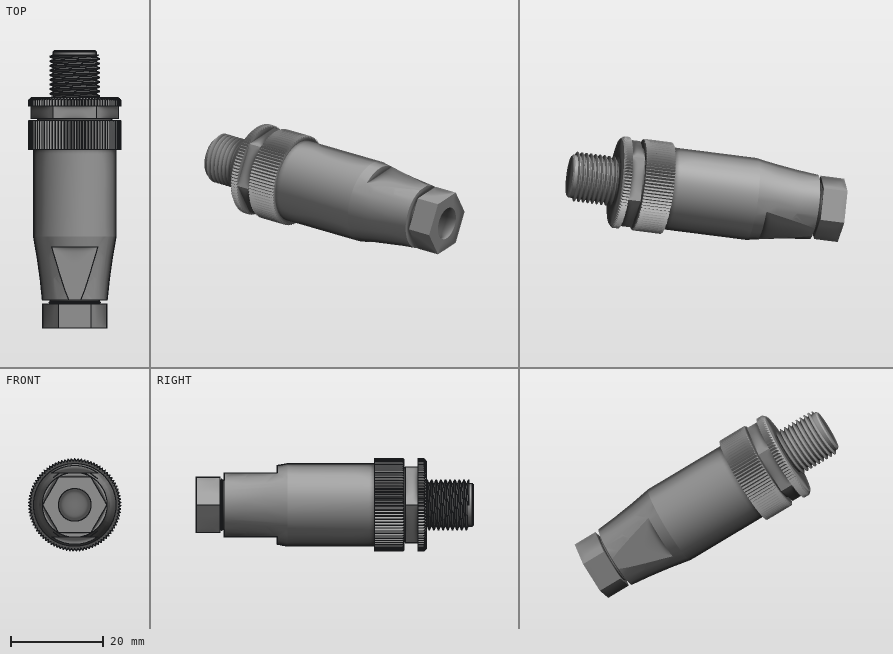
import cadquery as cq
import math

total_length = 60.0

nut_end = 5.2
taper_start = 6.05
flats_end = 17.5
body_start = 19.8
grip_start = 38.6
grip_end = 44.95
hex_start = 45.3
collar_start = 48.0
collar_end = 49.85

nut_corner_radius = 6.95
cable_bore_radius = 3.55
gland_neck_radius = 5.35
gland_ridge_radius = 5.6
taper_small_radius = 7.0
taper_middle_radius = 7.8
body_radius = 8.95
hex_neck_radius = 8.05
hex_corner_radius = 9.5
plug_radius = 4.7

gland_ridge_width = 0.35
gland_ridge_center = 5.5
flat_height = 6.9

tooth_count = 87
knurl_diameter = 20.0
knurl_tip_radius = knurl_diameter / 2
knurl_root_radius = 9.5
grip_chamfer = 0.2
collar_chamfer = 0.6

plug_chamfer = 0.3
thread_crest_radius = 5.4
thread_start = 49.2
thread_turns = 10
thread_length = 10.0
thread_cutoff = 59.05
thread_base_width = 0.85
thread_crest_width = 0.1
thread_overlap = 0.1


def turned(profile):
    """Revolve a closed (radius, y) outline about the Y axis."""
    return profile.close().revolve(360, (0, 0, 0), (0, 1, 0))


def cylinder(radius, start, end):
    return cq.Workplane("XZ", origin=(0, start, 0)).circle(radius).extrude(start - end)


def hexagon(corner_radius, start, end):
    """Hexagonal prism with two corners on the X axis."""
    base = cq.Workplane("XZ", origin=(0, start, 0))
    return base.polygon(6, 2 * corner_radius).extrude(start - end)


def polar_point(radius, angle):
    return radius * math.cos(angle), radius * math.sin(angle)


def knurled_ring(start, end, chamfer):
    """Ring of sharp teeth with one tooth at the top, chamfered on the plug side."""
    pitch = 2 * math.pi / tooth_count
    outline = []
    for tooth in range(tooth_count):
        tip_angle = math.pi / 2 + tooth * pitch
        outline.append(polar_point(knurl_tip_radius, tip_angle))
        outline.append(polar_point(knurl_root_radius, tip_angle + pitch / 2))
    toothed = cq.Workplane("XZ", origin=(0, start, 0)).polyline(outline).close().extrude(start - end)
    envelope = cylinder(knurl_tip_radius, start, end).faces(">Y").chamfer(chamfer)
    return toothed.intersect(envelope)


def gland_neck():
    """Short neck between nut and housing, with one sharp ridge."""
    half_width = gland_ridge_width / 2
    profile = (
        cq.Workplane("XY")
        .moveTo(0, nut_end)
        .lineTo(gland_neck_radius, nut_end)
        .lineTo(gland_neck_radius, gland_ridge_center - half_width)
        .lineTo(gland_ridge_radius, gland_ridge_center)
        .lineTo(gland_neck_radius, gland_ridge_center + half_width)
        .lineTo(gland_neck_radius, taper_start)
        .lineTo(0, taper_start)
    )
    return turned(profile)


def housing():
    """Cylindrical body with a slightly hollow taper and two wrench flats."""
    taper_middle = (taper_start + body_start) / 2
    profile = (
        cq.Workplane("XY")
        .moveTo(0, taper_start)
        .lineTo(taper_small_radius, taper_start)
        .threePointArc((taper_middle_radius, taper_middle), (body_radius, body_start))
        .lineTo(body_radius, grip_start)
        .lineTo(0, grip_start)
    )
    body = turned(profile)
    flat_length = flats_end - taper_start
    flat_middle = (taper_start + flats_end) / 2
    cut_depth = body_radius - flat_height
    cutter = cq.Workplane("XY").box(2 * body_radius, flat_length, cut_depth)
    for side in (1, -1):
        body = body.cut(cutter.translate((0, flat_middle, side * (flat_height + cut_depth / 2))))
    return body


def thread():
    """Right-handed ridge wound about Z, then turned to lie along Y."""
    root_radius = plug_radius - thread_overlap
    pitch = thread_length / thread_turns
    path = cq.Wire.makeHelix(pitch, thread_length, root_radius)
    section = (
        cq.Workplane("XZ")
        .moveTo(root_radius, -thread_base_width / 2)
        .lineTo(thread_crest_radius, -thread_crest_width / 2)
        .lineTo(thread_crest_radius, thread_crest_width / 2)
        .lineTo(root_radius, thread_base_width / 2)
        .close()
    )
    ridge = section.sweep(cq.Workplane(path), isFrenet=True)
    ridge = ridge.rotate((0, 0, 0), (1, 0, 0), -90)
    ridge = ridge.translate((0, thread_start, 0))
    return ridge.cut(cylinder(body_radius, thread_cutoff, total_length))


plug = cylinder(plug_radius, collar_end, total_length).faces(">Y").chamfer(plug_chamfer)
cable_nut = hexagon(nut_corner_radius, 0, nut_end).cut(cylinder(cable_bore_radius, 0, nut_end))

result = (
    plug.union(thread())
    .union(knurled_ring(collar_start, collar_end, collar_chamfer))
    .union(hexagon(hex_corner_radius, hex_start, collar_start))
    .union(cylinder(hex_neck_radius, grip_end, hex_start))
    .union(knurled_ring(grip_start, grip_end, grip_chamfer))
    .union(housing())
    .union(gland_neck())
    .union(cable_nut)
)